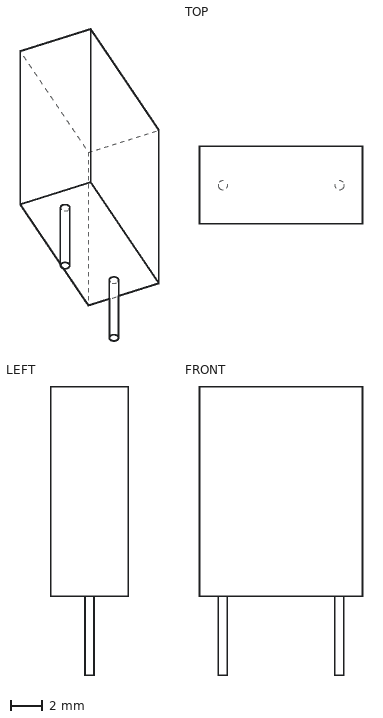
import cadquery as cq

total_height = 18.6
body_width = 10.5
body_depth = 5.0
body_height = 13.5

lead_diameter = 0.6
lead_spacing = 7.51
lead_length = total_height - body_height


def make_body():
    """Rectangular body standing on the plane Z = 0."""
    return cq.Workplane("XY").box(body_width, body_depth, body_height, centered=(True, True, False))


def make_lead(x):
    """Straight round lead hanging from the underside of the body."""
    return cq.Workplane("XY").center(x, 0).circle(lead_diameter / 2).extrude(-lead_length)


body = make_body()
leads = [make_lead(side * lead_spacing / 2) for side in (-1, 1)]

result = cq.Compound.makeCompound([body.val(), *[lead.val() for lead in leads]])